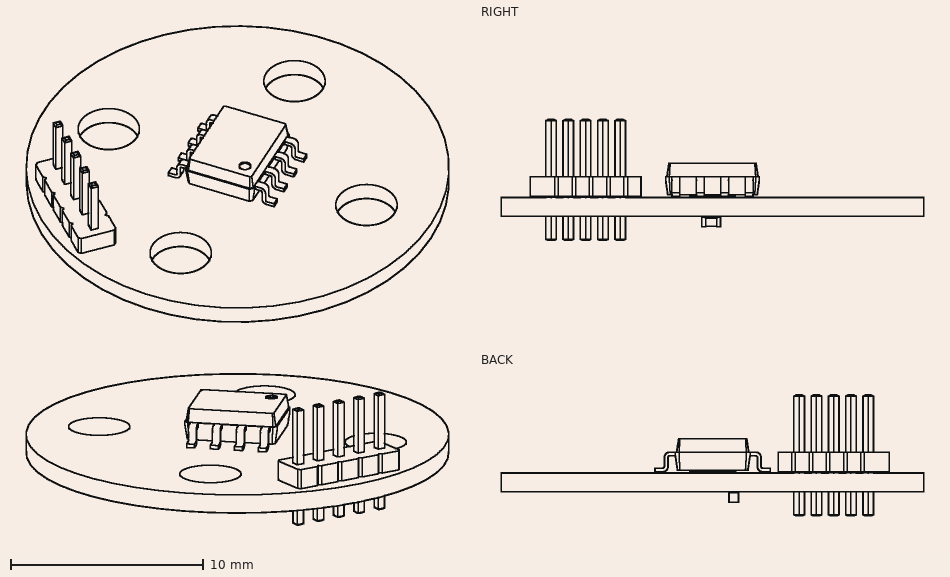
import cadquery as cq
import math

board_diameter = 22.0
board_thickness = 1.0
mount_hole_count = 4
mount_hole_diameter = 3.2
mount_hole_offset = 7.33

seat_gap = 0.05
chip_seat = board_thickness + seat_gap

header_x = -6.3
header_y = -6.6
header_angle = -45.0
pin_count = 5
pin_row_length = 5.08
pin_pitch = pin_row_length / (pin_count - 1)
pin_side = 0.4
pin_rise = 4.05
pin_drop = 1.25
pin_tip_height = 0.07
pin_tip_inset = 0.1
header_width = 2.1
header_height = 1.03
header_corner_chamfer = 0.13

chip_width = 3.9
chip_length = 4.89
chip_corner_chamfer = 0.2
chip_underside = 0.09
chip_top = 1.74
ledge_inset = 0.07
upper_draft_inset = 0.1
lower_draft_inset = 0.1
pad_side = 2.38
dot_diameter = 0.6
dot_depth = 0.09
dot_x = 1.12
dot_y = -1.58

leads_per_side = 4
lead_row_length = 3.8
lead_pitch = lead_row_length / (leads_per_side - 1)
lead_width = 0.42
lead_thickness = 0.2
lead_span = 6.0
lead_height = 1.03
lead_shank_span = 5.05
lead_bend_radius = 0.29

capacitor_x = -1.1
capacitor_y = -0.07
capacitor_width = 0.5
capacitor_length = 1.0
capacitor_height = 0.5
terminal_length = 0.2
terminal_wrap = 0.033


def header_frame(height):
    """Workplane at the header centre, local X along the pin row."""
    plane = cq.Plane(origin=(header_x, header_y, height))
    return cq.Workplane(plane.rotated((0, 0, header_angle)))


def pin_points():
    """Pin centres along the row, in the header frame."""
    return [((i - (pin_count - 1) / 2) * pin_pitch, 0) for i in range(pin_count)]


def make_board():
    """Disc with mounting holes and a square hole for each header pin."""
    blank = cq.Workplane("XY").circle(board_diameter / 2).extrude(board_thickness)
    mount_holes = (
        cq.Workplane("XY")
        .polarArray(mount_hole_offset, 0, 360, mount_hole_count)
        .circle(mount_hole_diameter / 2)
        .extrude(board_thickness)
    )
    pin_holes = (
        header_frame(0).pushPoints(pin_points()).rect(pin_side, pin_side).extrude(board_thickness)
    )
    return blank.cut(mount_holes).cut(pin_holes)


def make_header():
    """Row of block cells with chamfered corners, each fused to its square pin."""
    header = None
    for x, y in pin_points():
        block = (
            header_frame(board_thickness + seat_gap)
            .center(x, y)
            .rect(pin_pitch, header_width)
            .extrude(header_height)
            .edges("|Z")
            .chamfer(header_corner_chamfer)
        )
        pin = (
            header_frame(-pin_drop)
            .center(x, y)
            .rect(pin_side, pin_side)
            .extrude(pin_drop + board_thickness + pin_rise)
            .faces("<Z or >Z")
            .chamfer(pin_tip_height, pin_tip_inset)
        )
        cell = block.union(pin)
        header = cell if header is None else header.union(cell)
    return header


def chip_slab(start, height, inset=0, draft_inset=0):
    """Chip outline with cut corners, extruded over a signed height from a start above the seat."""
    outline = (
        cq.Sketch()
        .rect(chip_width - 2 * inset, chip_length - 2 * inset)
        .vertices()
        .chamfer(chip_corner_chamfer - inset)
    )
    return (
        cq.Workplane("XY", origin=(0, 0, chip_seat + start))
        .placeSketch(outline)
        .extrude(height, taper=math.degrees(math.atan(draft_inset / abs(height))))
    )


def make_lead(y):
    """Lead on the +X side, running from inside the chip down to its foot at the seat."""
    tip = lead_span / 2
    outer = lead_shank_span / 2
    inner = outer - lead_thickness
    outer_radius = lead_bend_radius
    inner_radius = lead_bend_radius - lead_thickness
    shoulder = lead_height - lead_thickness
    return (
        cq.Workplane("XZ", origin=(0, y + lead_width / 2, chip_seat))
        .moveTo(0, lead_height)
        .lineTo(outer - outer_radius, lead_height)
        .radiusArc((outer, lead_height - outer_radius), outer_radius)
        .lineTo(outer, lead_thickness + inner_radius)
        .radiusArc((outer + inner_radius, lead_thickness), -inner_radius)
        .lineTo(tip, lead_thickness)
        .lineTo(tip, 0)
        .lineTo(inner + outer_radius, 0)
        .radiusArc((inner, outer_radius), outer_radius)
        .lineTo(inner, shoulder - inner_radius)
        .radiusArc((inner - inner_radius, shoulder), -inner_radius)
        .lineTo(0, shoulder)
        .close()
        .extrude(lead_width)
    )


def make_chip():
    """Moulding with a middle band, a thermal pad underneath, two rows of leads and a pin-one dot."""
    band_bottom = lead_height - lead_thickness
    band = chip_slab(band_bottom, lead_thickness)
    upper = chip_slab(lead_height, chip_top - lead_height, ledge_inset, upper_draft_inset)
    lower = chip_slab(band_bottom, chip_underside - band_bottom, draft_inset=lower_draft_inset)
    pad = (
        cq.Workplane("XY", origin=(0, 0, chip_seat))
        .rect(pad_side, pad_side)
        .extrude(chip_underside)
    )
    chip = band.union(upper).union(lower).union(pad)
    for i in range(leads_per_side):
        lead = make_lead((i - (leads_per_side - 1) / 2) * lead_pitch)
        chip = chip.union(lead).union(lead.mirror("YZ"))
    dot = (
        cq.Workplane("XY", origin=(dot_x, dot_y, chip_seat + chip_top))
        .circle(dot_diameter / 2)
        .extrude(-dot_depth)
    )
    return chip.cut(dot)


def make_capacitor():
    """Core with a slightly larger terminal at each end, hung from the underside of the board."""
    centre = (capacitor_x, capacitor_y, -seat_gap - capacitor_height / 2)
    core = cq.Workplane("XY", origin=centre).box(
        capacitor_width - 2 * terminal_wrap,
        capacitor_length - 2 * terminal_length,
        capacitor_height - 2 * terminal_wrap,
    )
    terminal_y = (capacitor_length - terminal_length) / 2
    terminals = (
        cq.Workplane("XY", origin=centre)
        .pushPoints([(0, -terminal_y), (0, terminal_y)])
        .box(capacitor_width, terminal_length, capacitor_height)
    )
    return core.union(terminals)


board = make_board()
header = make_header()
chip = make_chip()
capacitor = make_capacitor()

result = cq.Compound.makeCompound([board.val(), header.val(), chip.val(), capacitor.val()])